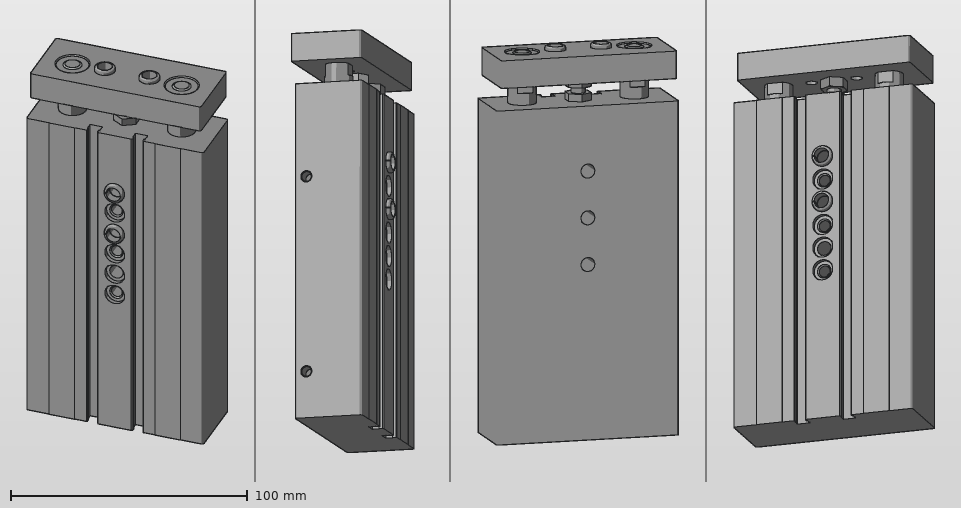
import cadquery as cq
import math


overall_height = 167.8
housing_width = 80.0
housing_height = 144.0
housing_back = 15.0
housing_front = -14.6
corner_radius = 1.0
raised_step = 0.2
land_front = housing_front - raised_step
pad_inner = 18.1
pad_outer = 29.7

slot_offset = 10.2
slot_opening = 4.5
slot_inner_width = 5.5
slot_lip = 2.0
slot_depth = 5.0
slot_chamfer = 0.5

sleeve_diameter = 8.9
sleeve_bore = 6.4
sleeve_projection = 1.8
sleeve_rounding = 1.0
sleeve_slit = 0.3
seat_depth = 2.0
sleeve_length = seat_depth + sleeve_projection

hole_pitch = 10.0
hole_count = 6
first_hole_z = 116.0
through_diameter = 6.0
thread_diameter = 6.0
tap_diameter = 4.9
blind_depth = 10.0
hole_heights = [first_hole_z - hole_pitch * i for i in range(hole_count)]
through_heights = hole_heights[0::2]
blind_heights = hole_heights[1::2]
sleeve_heights = through_heights[:2]

port_y = 9.9
port_heights = [103.9, 20.0]
port_mouth = 4.9
port_diameter = 4.2
port_depth = 6.7

plate_width = 77.2
plate_back = 17.1
plate_front = -14.0
plate_bottom = 154.0
plate_top = overall_height - sleeve_projection
plate_sleeve_offset = 10.0

rod_offset = 24.7
rod_diameter = 12.0
rod_flat_width = 10.0
rod_flat_height = 5.0

piston_diameter = 6.0
hex_flats = 10.0
hex_chamfer_diameter = 10.5
nut_height = 4.2
nut_chamfer_slope = 2.0
rod_hex_height = 3.2

plug_diameter = 14.0
plug_mouth_diameter = 15.0
plug_seat_depth = 6.7
plug_recess = (plug_mouth_diameter - plug_diameter) / 2
boss_diameter = 8.0
boss_top_diameter = 6.4
boss_height = 0.5

drill_point_angle = 118
drill_point_ratio = 0.5 / math.tan(math.radians(drill_point_angle / 2))


def block(x_size, y_min, y_max, z_min, z_max):
    """Box centred on X = 0 between the given Y and Z limits."""
    box = cq.Workplane("XY").box(x_size, y_max - y_min, z_max - z_min, centered=(True, False, False))
    return box.translate((0, y_min, z_min))


def cylinder(diameter, start, length, direction=(0, 0, 1)):
    """Cylinder from the start point along the direction."""
    return cq.Workplane(
        cq.Solid.makeCylinder(diameter / 2, length, cq.Vector(*start), cq.Vector(*direction))
    )


def cone(start_diameter, end_diameter, start, length, direction=(0, 0, 1)):
    """Cone or cone frustum from the start point along the direction."""
    return cq.Workplane(
        cq.Solid.makeCone(
            start_diameter / 2, end_diameter / 2, length, cq.Vector(*start), cq.Vector(*direction)
        )
    )


def drilled_hole(mouth, diameter, depth, start, direction):
    """Blind hole cutter with a 45 degree mouth chamfer and a conical drill point."""
    tip_start = cq.Vector(*start) + cq.Vector(*direction) * depth
    bore = cylinder(diameter, start, depth, direction)
    mouth_cone = cone(mouth, diameter, start, (mouth - diameter) / 2, direction)
    point = cone(diameter, 0, tip_start.toTuple(), diameter * drill_point_ratio, direction)
    return bore.union(mouth_cone).union(point)


def slot_cutter(x):
    """T-slot running the full height of the housing, its opening chamfered at the front."""
    half_opening = slot_opening / 2
    half_mouth = half_opening + slot_chamfer
    half_inner = slot_inner_width / 2
    right_side = [
        (half_mouth, 0),
        (half_opening, slot_chamfer),
        (half_opening, slot_lip),
        (half_inner, slot_lip),
        (half_inner, slot_depth),
    ]
    left_side = [(-px, depth) for px, depth in reversed(right_side)]
    profile = cq.Workplane("XY").polyline(right_side + left_side).close()
    return profile.extrude(housing_height).translate((x, land_front, 0))


def make_housing():
    body = block(housing_width, housing_front, housing_back, 0, housing_height)
    body = body.edges("|Z").fillet(corner_radius)

    land = block(2 * slot_offset, land_front, 0, 0, housing_height)
    pad = block(pad_outer - pad_inner, land_front, 0, 0, housing_height)
    pad_centre = (pad_inner + pad_outer) / 2
    body = body.union(land)
    for side in (-1, 1):
        body = body.union(pad.translate((side * pad_centre, 0, 0)))
        body = body.cut(slot_cutter(side * slot_offset))

    inward = (0, 1, 0)
    seat_floor = land_front + seat_depth
    for z in hole_heights:
        body = body.cut(cylinder(sleeve_diameter, (0, land_front, z), seat_depth, inward))
    for z in through_heights:
        hole = cylinder(through_diameter, (0, land_front, z), housing_back - land_front, inward)
        body = body.cut(hole)
    for z in blind_heights:
        hole = drilled_hole(thread_diameter, tap_diameter, blind_depth, (0, seat_floor, z), inward)
        body = body.cut(hole)

    for z in port_heights:
        port_start = (-housing_width / 2, port_y, z)
        port = drilled_hole(port_mouth, port_diameter, port_depth, port_start, (1, 0, 0))
        body = body.cut(port)
    return body


def make_plate():
    plate = block(plate_width, plate_front, plate_back, plate_bottom, plate_top)
    plate = plate.edges("|Z").fillet(corner_radius)
    down = (0, 0, -1)
    seat_floor = plate_top - seat_depth
    for side in (-1, 1):
        sleeve_x = side * plate_sleeve_offset
        plate = plate.cut(cylinder(sleeve_diameter, (sleeve_x, 0, plate_top), seat_depth, down))
        plate = plate.cut(cylinder(tap_diameter, (sleeve_x, 0, plate_top), plate_top - plate_bottom, down))
        thread_mouth = cone(
            thread_diameter, tap_diameter, (sleeve_x, 0, seat_floor), (thread_diameter - tap_diameter) / 2, down
        )
        plate = plate.cut(thread_mouth)

        plug_start = (side * rod_offset, 0, plate_top)
        plate = plate.cut(cylinder(plug_diameter, plug_start, plug_seat_depth, down))
        plate = plate.cut(cone(plug_mouth_diameter, plug_diameter, plug_start, plug_recess, down))
    return plate


def make_guide_rod(x):
    """Guide rod from the housing top to the plate, with two wrench flats below the plate."""
    rod = cylinder(rod_diameter, (0, 0, housing_height), plate_bottom - housing_height)
    half_flats = rod_flat_width / 2
    flat_bottom = plate_bottom - rod_flat_height
    for y_min, y_max in ((-rod_diameter, -half_flats), (half_flats, rod_diameter)):
        rod = rod.cut(block(rod_diameter, y_min, y_max, flat_bottom, plate_bottom))
    return rod.translate((x, 0, 0))


def hexagon(z, height):
    """Hexagonal prism on the Z axis with corners pointing to +Y and -Y."""
    hexagon_outline = cq.Workplane("XY").polygon(6, hex_flats, circumscribed=True)
    return hexagon_outline.extrude(height).translate((0, 0, z))


def make_piston_rod():
    """Piston rod with a hexagon at the housing and a lock nut under the plate."""
    rod = cylinder(piston_diameter, (0, 0, housing_height), plate_bottom - housing_height)
    nut_bottom = plate_bottom - nut_height
    limit_diameter = hex_chamfer_diameter + 2 * nut_height * nut_chamfer_slope
    nut_limit = cone(hex_chamfer_diameter, limit_diameter, (0, 0, nut_bottom), nut_height)
    nut = hexagon(nut_bottom, nut_height).intersect(nut_limit)
    return rod.union(nut).union(hexagon(housing_height, rod_hex_height))


def make_yoke():
    """Moving part: plate, guide rods and piston rod in one piece."""
    yoke = make_plate().union(make_piston_rod())
    for side in (-1, 1):
        yoke = yoke.union(make_guide_rod(side * rod_offset))
    return yoke


def make_end_plug(x):
    """Round plug filling its seat in the plate, with a conical boss on its recessed face."""
    face = plate_top - plug_recess
    plug = cylinder(plug_diameter, (x, 0, plate_top - plug_seat_depth), plug_seat_depth - plug_recess)
    return plug.union(cone(boss_diameter, boss_top_diameter, (x, 0, face), boss_height))


def make_sleeve():
    """Slit centering sleeve standing on Z = 0, both outer rims rounded, the slit on its -X side."""
    sleeve = cylinder(sleeve_diameter, (0, 0, 0), sleeve_length)
    sleeve = sleeve.faces("<Z or >Z").fillet(sleeve_rounding)
    sleeve = sleeve.cut(cylinder(sleeve_bore, (0, 0, 0), sleeve_length))
    slit = cq.Workplane("XY").box(sleeve_diameter, sleeve_slit, sleeve_length, centered=(True, True, False))
    return sleeve.cut(slit.translate((-sleeve_diameter / 2, 0, 0)))


housing = make_housing()
yoke = make_yoke()
end_plugs = [make_end_plug(side * rod_offset) for side in (-1, 1)]
plate_sleeves = [
    make_sleeve().translate((side * plate_sleeve_offset, 0, plate_top - seat_depth)) for side in (-1, 1)
]
housing_sleeves = [
    make_sleeve().rotate((0, 0, 0), (1, 0, 0), 90).translate((0, land_front + seat_depth, z))
    for z in sleeve_heights
]

bodies = [housing, yoke, *end_plugs, *plate_sleeves, *housing_sleeves]
result = cq.Compound.makeCompound([body.val() for body in bodies])